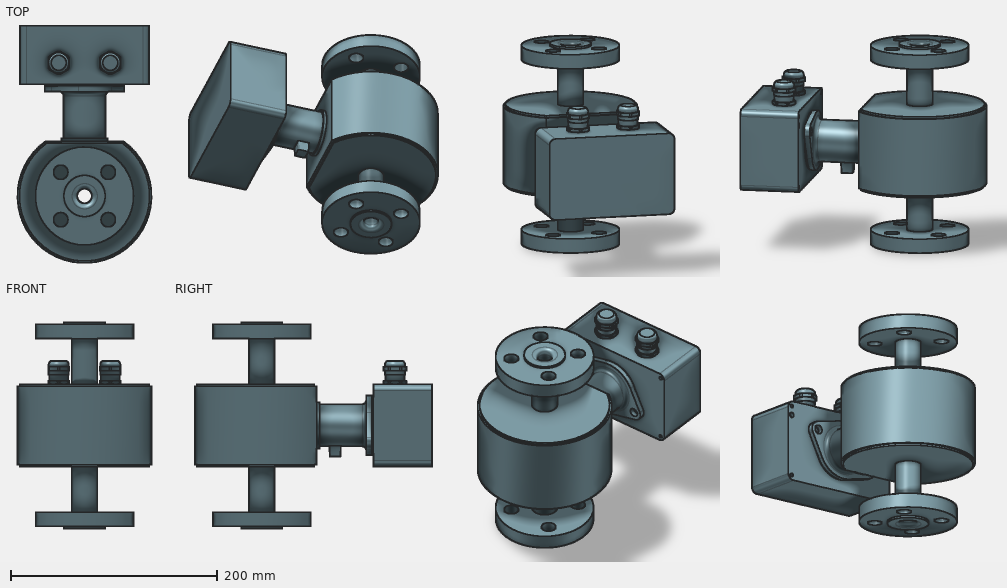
import cadquery as cq
import math

overall_height = 200.0
pipe_diameter = 25.0
bore_diameter = 14.0
bore_mouth_radius = 5.25

flange_diameter = 95.0
flange_thickness = 14.0
raised_face_diameter = 40.0
raised_face_height = 2.0
bolt_circle_diameter = 65.0
bolt_hole_diameter = 14.0
bolt_count = 4
bolt_start_angle = 45.0

drum_diameter = 130.0
drum_flat_y = 53.0
drum_height = 80.0
drum_step = 2.0

collar_diameter = 45.0
collar_length = 3.0
neck_diameter = 41.0
neck_flare_radius = 4.0

ear_plate_thickness = 5.5
ear_plate_diameter = 58.0
ear_radius = 8.0
ear_offset = 34.0
ear_tilt = 26.0
ear_hole_diameter = 8.5
spacer_diameter = 55.0
spacer_thickness = 1.4

stub_y = 71.0
stub_tip_width = 10.4
stub_neck_width = 13.5
stub_corner_radius = 0.4
stub_tip_z = -30.3

box_width = 125.0
box_depth = 57.0
box_height = 80.0
box_corner_radius = 6.0
box_back_y = 165.0
box_front_y = box_back_y - box_depth
corner_hole_diameter = 3.24
corner_hole_inset_x = 4.3
corner_hole_inset_z = 5.0
fixing_hole_diameter = 4.8
fixing_hole_z = 26.0
box_hole_depth = 9.4

spacer_front_y = box_front_y - spacer_thickness
ear_plate_front_y = spacer_front_y - ear_plate_thickness

gland_spacing = 50.0
gland_y = 129.0
gland_body_diameter = 18.6
gland_cap_diameter = 19.8
gland_top_diameter = 14.6
hex_flats = 20.5
hex_corner_diameter = 22.5
base_hex_chamfer = 0.7
gland_base_hex_top = 3.3
gland_cap_bottom = 9.0
gland_nut_bottom = 12.9
gland_nut_top = 16.5
gland_dome_start = 17.6
gland_height = 22.5
dome_bulge_inset = 0.6
dome_bulge_drop = 1.9


def cylinder_z(diameter, bottom, top):
    return cq.Workplane("XY").workplane(offset=bottom).circle(diameter / 2).extrude(top - bottom)


def cylinder_y(diameter, front, back):
    """Cylinder along +Y, centred on the neck axis."""
    return cq.Workplane("XZ", origin=(0, front, 0)).circle(diameter / 2).extrude(front - back)


def make_drum():
    def flat_sided_disc(inset, height):
        disc = cylinder_z(drum_diameter - 2 * inset, -height / 2, height / 2)
        beyond_flat = cq.Workplane("XY").box(drum_diameter, drum_diameter, height)
        return disc.cut(beyond_flat.translate((0, drum_flat_y - inset + drum_diameter / 2, 0)))

    end_caps = flat_sided_disc(drum_step, drum_height)
    shell = flat_sided_disc(0, drum_height - 2 * drum_step)
    return shell.union(end_caps)


def make_flange():
    """Upper flange, with its raised face at the top end of the pipe."""
    face_z = overall_height / 2
    plate_top = face_z - raised_face_height
    plate = cylinder_z(flange_diameter, plate_top - flange_thickness, plate_top)
    bolt_holes = (
        cq.Workplane("XY")
        .workplane(offset=plate_top - flange_thickness)
        .polarArray(bolt_circle_diameter / 2, bolt_start_angle, 360, bolt_count)
        .circle(bolt_hole_diameter / 2)
        .extrude(flange_thickness)
    )
    return plate.cut(bolt_holes).union(cylinder_z(raised_face_diameter, plate_top, face_z))


def make_bore():
    """Through bore, rounded outward at both mouths."""
    half = overall_height / 2
    radius = bore_diameter / 2
    mouth = radius + bore_mouth_radius
    arc_offset = bore_mouth_radius * (1 - math.sqrt(0.5))
    return (
        cq.Workplane("XZ")
        .moveTo(0, -half)
        .lineTo(mouth, -half)
        .threePointArc((radius + arc_offset, -half + arc_offset), (radius, -half + bore_mouth_radius))
        .lineTo(radius, half - bore_mouth_radius)
        .threePointArc((radius + arc_offset, half - arc_offset), (mouth, half))
        .lineTo(0, half)
        .close()
        .revolve(360, (0, 0, 0), (0, 1, 0))
    )


def make_ear_plate():
    """Round plate blended by tangent lines into two opposite ears, each with a screw hole."""
    plate_radius = ear_plate_diameter / 2
    tangent_angle = math.acos((plate_radius - ear_radius) / ear_offset)

    def tangent_point(centre_x, radius, side_x, side_z):
        return (
            centre_x + side_x * radius * math.cos(tangent_angle),
            side_z * radius * math.sin(tangent_angle),
        )

    outline = (
        cq.Workplane("XZ", origin=(0, ear_plate_front_y, 0))
        .moveTo(*tangent_point(ear_offset, ear_radius, 1, -1))
        .threePointArc((ear_offset + ear_radius, 0), tangent_point(ear_offset, ear_radius, 1, 1))
        .lineTo(*tangent_point(0, plate_radius, 1, 1))
        .threePointArc((0, plate_radius), tangent_point(0, plate_radius, -1, 1))
        .lineTo(*tangent_point(-ear_offset, ear_radius, -1, 1))
        .threePointArc((-ear_offset - ear_radius, 0), tangent_point(-ear_offset, ear_radius, -1, -1))
        .lineTo(*tangent_point(0, plate_radius, -1, -1))
        .threePointArc((0, -plate_radius), tangent_point(0, plate_radius, 1, -1))
        .close()
    )
    holes = (
        cq.Workplane("XZ", origin=(0, ear_plate_front_y, 0))
        .pushPoints([(-ear_offset, 0), (ear_offset, 0)])
        .circle(ear_hole_diameter / 2)
        .extrude(-ear_plate_thickness)
    )
    plate = outline.extrude(-ear_plate_thickness).cut(holes)
    return plate.rotate((0, 0, 0), (0, 1, 0), ear_tilt)


def make_neck_flare():
    """Concave ring that widens the neck where it meets the ear plate."""
    radius = neck_diameter / 2
    arc_offset = neck_flare_radius * (1 - math.sqrt(0.5))
    start_y = ear_plate_front_y - neck_flare_radius
    return (
        cq.Workplane("XY")
        .moveTo(0, start_y)
        .lineTo(radius, start_y)
        .threePointArc(
            (radius + arc_offset, ear_plate_front_y - arc_offset),
            (radius + neck_flare_radius, ear_plate_front_y),
        )
        .lineTo(0, ear_plate_front_y)
        .close()
        .revolve(360, (0, 0, 0), (0, 1, 0))
    )


def make_stub():
    """Square stub, widening upward from its tip into the neck."""
    return (
        cq.Workplane("XY", origin=(0, stub_y, stub_tip_z))
        .rect(stub_tip_width, stub_tip_width)
        .workplane(offset=-stub_tip_z)
        .rect(stub_neck_width, stub_neck_width)
        .loft()
        .edges("not #Z")
        .fillet(stub_corner_radius)
    )


def make_neck():
    collar = cylinder_y(collar_diameter, drum_flat_y - drum_step, drum_flat_y + collar_length)
    tube = cylinder_y(neck_diameter, drum_flat_y - drum_step, ear_plate_front_y)
    spacer = cylinder_y(spacer_diameter, spacer_front_y, box_front_y)
    neck = tube.union(collar).union(make_neck_flare()).union(make_stub())
    return neck.union(make_ear_plate()).union(spacer)


def make_box():
    corner_x = box_width / 2 - corner_hole_inset_x
    corner_z = box_height / 2 - corner_hole_inset_z
    block = (
        cq.Workplane("XY")
        .box(box_width, box_depth, box_height)
        .edges("|Y")
        .fillet(box_corner_radius)
        .translate((0, box_front_y + box_depth / 2, 0))
    )
    front_plane = cq.Workplane("XZ", origin=(0, box_front_y, 0))
    corner_holes = (
        front_plane.rect(2 * corner_x, 2 * corner_z, forConstruction=True)
        .vertices()
        .circle(corner_hole_diameter / 2)
        .extrude(-box_hole_depth)
    )
    fixing_hole = (
        front_plane.center(-corner_x, fixing_hole_z)
        .circle(fixing_hole_diameter / 2)
        .extrude(-box_hole_depth)
    )
    return block.cut(corner_holes).cut(fixing_hole)


def make_transmitter():
    """Sensor, neck and connection box as one solid."""
    flange = make_flange()
    pipe = cylinder_z(pipe_diameter, -overall_height / 2, overall_height / 2)
    sensor = make_drum().union(pipe).union(flange).union(flange.mirror("XY"))
    return sensor.union(make_neck()).union(make_box()).cut(make_bore())


def make_hexagon(bottom, top):
    """Hexagonal prism with two corners on the Y axis."""
    corner_distance = hex_flats / 2 / math.cos(math.pi / 6)
    corner_angles = [math.radians(30 + 60 * i) for i in range(6)]
    corners = [(corner_distance * math.cos(a), corner_distance * math.sin(a)) for a in corner_angles]
    return cq.Workplane("XY").workplane(offset=bottom).polyline(corners).close().extrude(top - bottom)


def make_base_hex():
    """Foot of the gland, its corners turned round and chamfered."""
    turned = cylinder_z(hex_corner_diameter, 0, gland_base_hex_top).edges().chamfer(base_hex_chamfer)
    return make_hexagon(0, gland_base_hex_top).intersect(turned)


def make_nut():
    """Clamping nut, its corners turned round."""
    turned = cylinder_z(hex_corner_diameter, gland_nut_bottom, gland_nut_top)
    return make_hexagon(gland_nut_bottom, gland_nut_top).intersect(turned)


def make_gland():
    """Cable gland standing on Z = 0."""
    body_radius = gland_body_diameter / 2
    cap_radius = gland_cap_diameter / 2
    top_radius = gland_top_diameter / 2
    dome_bulge = (cap_radius - dome_bulge_inset, gland_height - dome_bulge_drop)
    turned_body = (
        cq.Workplane("XZ")
        .lineTo(body_radius, 0)
        .lineTo(body_radius, gland_cap_bottom)
        .lineTo(cap_radius, gland_cap_bottom)
        .lineTo(cap_radius, gland_dome_start)
        .threePointArc(dome_bulge, (top_radius, gland_height))
        .lineTo(0, gland_height)
        .close()
        .revolve(360, (0, 0, 0), (0, 1, 0))
    )
    return turned_body.union(make_base_hex()).union(make_nut())


transmitter = make_transmitter()

gland = make_gland()
glands = []
for side in (-1, 1):
    placed = gland.translate((side * gland_spacing / 2, gland_y, box_height / 2))
    glands.append(placed.val())

result = cq.Compound.makeCompound([transmitter.val(), *glands])